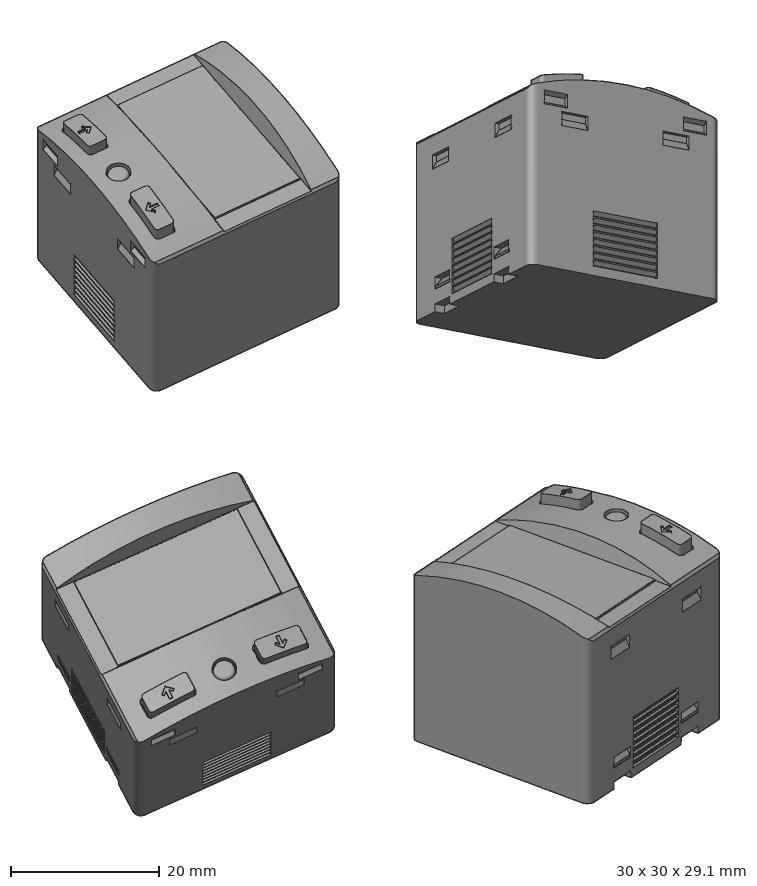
import cadquery as cq
import math

WIDTH = 30.0
HALF = WIDTH / 2
TOTAL_HEIGHT = 29.12
DOME_APEX = 27.9
DOME_RADIUS = 45.0
DOME_AXIS_Z = DOME_APEX - DOME_RADIUS
CORNER_RADIUS = 1.2
EDGE_CHAMFER_X = 0.34
EDGE_CHAMFER_Z = 0.42

CHANNEL_FLOOR_Z = 25.3
CHANNEL_BACK_Y = 10.2
CHANNEL_FRONT_Y = -3.65
CHANNEL_WALL_ANGLE = 18.0
PANEL_WIDTH = 24.4
PANEL_HEIGHT = 0.3
PANEL_BACK_Y = 10.05
PANEL_FRONT_Y = -3.5

CONTROL_Y = -11.1
BUTTON_CENTER_X = 8.4
BUTTON_LENGTH = 6.75
BUTTON_WIDTH = 3.0
BUTTON_CORNER = 0.5
BUTTON_GAP_X = 0.25
BUTTON_GAP_Y = 0.1
BUTTON_GAP_DEPTH = 0.6
BUTTON_TOP_RADIUS = math.hypot(BUTTON_CENTER_X - BUTTON_LENGTH / 2, TOTAL_HEIGHT - DOME_AXIS_Z)

ARROW_LENGTH = 1.95
ARROW_SHAFT = 0.45
ARROW_HALF_SPAN = 0.9
ARROW_BARB = 0.25
ARROW_DEPTH = 0.2

LAMP_HOLE_DIAMETER = 3.3
LAMP_DIAMETER = 3.0
LAMP_ROUND = 0.48
LAMP_TOP_Z = DOME_APEX - 0.18
LAMP_HOLE_DEPTH = 1.0

VENT_WIDTH = 10.1
VENT_COUNT = 8
VENT_PITCH = 1.0
VENT_BOTTOM_Z = 1.35
VENT_HEIGHT = 0.8
VENT_BACK_HEIGHT = 0.25
VENT_DEPTH = 0.45

WINDOW_DEPTH = 0.6
LATCH_CENTER = 8.0
LATCH_WIDTH = 4.1
LATCH_BOTTOM_Z = 20.35
LATCH_BACK_Z = 21.45
LATCH_TOP_Z = 22.35

CORNER_WINDOW_CENTER = 11.0
CORNER_WINDOW_WIDTH = 3.6
CORNER_WINDOW_BOTTOM_Z = 22.96
CORNER_WINDOW_TOP_Z = 24.9
CORNER_WINDOW_TAPER = 0.44

SNAP_CENTER = 7.55
SNAP_WIDTH = 3.7
SNAP_BOTTOM_Z = 3.25
SNAP_STEP_Z = 3.63
SNAP_TOP_Z = 4.9
SNAP_LIP_DEPTH = 0.1
SNAP_DEPTH = 1.1
NOTCH_HEIGHT = 1.1
NOTCH_DRAFT = 0.1
NOTCH_DEPTH = 1.5

CLEAR = 1.0


def dome_cylinder(radius):
    """Cylinder along Y, coaxial with the dome and as long as the body."""
    return cq.Workplane("XZ", origin=(0, HALF, DOME_AXIS_Z)).circle(radius).extrude(WIDTH)


def make_body():
    shoulder_x = HALF - EDGE_CHAMFER_X
    shoulder_z = DOME_AXIS_Z + math.sqrt(DOME_RADIUS**2 - shoulder_x**2)
    side_z = shoulder_z - EDGE_CHAMFER_Z
    return (
        cq.Workplane("XZ", origin=(0, HALF, 0))
        .moveTo(-HALF, 0)
        .lineTo(HALF, 0)
        .lineTo(HALF, side_z)
        .lineTo(shoulder_x, shoulder_z)
        .threePointArc((0, DOME_APEX), (-shoulder_x, shoulder_z))
        .lineTo(-HALF, side_z)
        .close()
        .extrude(WIDTH)
        .edges("|Z and (<X or >X)")
        .fillet(CORNER_RADIUS)
    )


def cut_channel(body):
    height = DOME_APEX + CLEAR - CHANNEL_FLOOR_Z
    flare = height * math.tan(math.radians(CHANNEL_WALL_ANGLE))
    top_z = CHANNEL_FLOOR_Z + height
    channel = (
        cq.Workplane("YZ", origin=(-HALF, 0, 0))
        .polyline([
            (CHANNEL_FRONT_Y, CHANNEL_FLOOR_Z),
            (CHANNEL_BACK_Y, CHANNEL_FLOOR_Z),
            (CHANNEL_BACK_Y + flare, top_z),
            (CHANNEL_FRONT_Y - flare, top_z),
        ])
        .close()
        .extrude(WIDTH)
    )
    panel = cq.Workplane("XY").box(
        PANEL_WIDTH, PANEL_BACK_Y - PANEL_FRONT_Y, PANEL_HEIGHT, centered=(True, False, False)
    ).translate((0, PANEL_FRONT_Y, CHANNEL_FLOOR_Z))
    return body.cut(channel).union(panel)


def rounded_prism(center_x, length, width, corner):
    """Upright bar with rounded corners, rising from the base past the button tops."""
    return (
        cq.Workplane("XY", origin=(center_x, CONTROL_Y, 0))
        .rect(length, width)
        .extrude(TOTAL_HEIGHT + CLEAR)
        .edges("|Z")
        .fillet(corner)
    )


def arrow_prism(center_x, direction):
    """Upright prism of an arrow pointing along +Y (direction 1) or -Y (direction -1)."""
    tip = ARROW_LENGTH / 2
    half_shaft = ARROW_SHAFT / 2
    barb_y = tip - ARROW_HALF_SPAN
    right_side = [
        (ARROW_HALF_SPAN, barb_y),
        (ARROW_HALF_SPAN - ARROW_BARB, barb_y - ARROW_BARB),
        (half_shaft, tip - half_shaft - 2 * ARROW_BARB),
        (half_shaft, -tip),
    ]
    left_side = [(-x, y) for x, y in reversed(right_side)]
    outline = [(x, direction * y) for x, y in [(0, tip)] + right_side + left_side]
    return (
        cq.Workplane("XY", origin=(center_x, CONTROL_Y, 0))
        .polyline(outline)
        .close()
        .extrude(TOTAL_HEIGHT + CLEAR)
    )


def add_button(body, side):
    """Curved key standing in a narrow clearance gap; side is -1 (left) or 1 (right)."""
    center_x = side * BUTTON_CENTER_X
    gap = rounded_prism(
        center_x,
        BUTTON_LENGTH + 2 * BUTTON_GAP_X,
        BUTTON_WIDTH + 2 * BUTTON_GAP_Y,
        BUTTON_CORNER + BUTTON_GAP_Y,
    ).cut(dome_cylinder(DOME_RADIUS - BUTTON_GAP_DEPTH))
    engraving = arrow_prism(center_x, -side).cut(dome_cylinder(BUTTON_TOP_RADIUS - ARROW_DEPTH))
    key = (
        rounded_prism(center_x, BUTTON_LENGTH, BUTTON_WIDTH, BUTTON_CORNER)
        .intersect(dome_cylinder(BUTTON_TOP_RADIUS))
        .cut(engraving)
    )
    return body.cut(gap).union(key)


def add_lamp(body):
    floor_z = DOME_APEX - LAMP_HOLE_DEPTH
    floor = cq.Workplane("XY", origin=(0, CONTROL_Y, floor_z))
    hole = floor.circle(LAMP_HOLE_DIAMETER / 2).extrude(LAMP_HOLE_DEPTH + CLEAR)
    lamp = (
        floor.circle(LAMP_DIAMETER / 2)
        .extrude(LAMP_TOP_Z - floor_z)
        .faces(">Z")
        .edges()
        .fillet(LAMP_ROUND)
    )
    return body.cut(hole).union(lamp)


def wall_recess(profile, width, center):
    """Recess in the left wall, from (depth, z) profile points, centred at y = center."""
    points = [(depth - HALF, z) for depth, z in profile]
    return (
        cq.Workplane("XZ", origin=(0, center + width / 2, 0))
        .polyline(points)
        .close()
        .extrude(width)
    )


def on_front_wall(recess):
    """Turn a left-wall recess about Z onto the front wall."""
    return recess.rotate((0, 0, 0), (0, 0, 1), 90)


def vent_slots():
    slots = cq.Workplane("XY")
    for index in range(VENT_COUNT):
        z = VENT_BOTTOM_Z + index * VENT_PITCH
        profile = [(0, z), (VENT_DEPTH, z), (VENT_DEPTH, z + VENT_BACK_HEIGHT), (0, z + VENT_HEIGHT)]
        slots = slots.add(wall_recess(profile, VENT_WIDTH, 0))
    return slots.combine()


def cut_vents_and_latches(body):
    latch_profile = [
        (0, LATCH_BOTTOM_Z),
        (WINDOW_DEPTH, LATCH_BACK_Z),
        (WINDOW_DEPTH, LATCH_TOP_Z),
        (0, LATCH_TOP_Z),
    ]
    recesses = [vent_slots()]
    for side in (-1, 1):
        recesses.append(wall_recess(latch_profile, LATCH_WIDTH, side * LATCH_CENTER))
    for recess in recesses:
        body = body.cut(recess).cut(on_front_wall(recess))
    return body


def cut_corner_windows(body):
    profile = [
        (0, CORNER_WINDOW_BOTTOM_Z),
        (WINDOW_DEPTH, CORNER_WINDOW_BOTTOM_Z + CORNER_WINDOW_TAPER),
        (WINDOW_DEPTH, CORNER_WINDOW_TOP_Z - CORNER_WINDOW_TAPER),
        (0, CORNER_WINDOW_TOP_Z),
    ]
    for side in (-1, 1):
        window = wall_recess(profile, CORNER_WINDOW_WIDTH, side * CORNER_WINDOW_CENTER)
        body = body.cut(on_front_wall(window))
    return body


def cut_snap_windows(body):
    profile = [
        (0, SNAP_BOTTOM_Z),
        (SNAP_LIP_DEPTH, SNAP_BOTTOM_Z),
        (SNAP_LIP_DEPTH, SNAP_STEP_Z),
        (SNAP_DEPTH, SNAP_TOP_Z),
        (0, SNAP_TOP_Z),
    ]
    for side in (-1, 1):
        body = body.cut(wall_recess(profile, SNAP_WIDTH, side * SNAP_CENTER))
    return body


def cut_foot_notches(body):
    """Notches open to the base; the end nearer the middle of the wall is drafted."""
    inner = SNAP_CENTER - SNAP_WIDTH / 2
    outer = SNAP_CENTER + SNAP_WIDTH / 2
    for side in (-1, 1):
        notch = (
            cq.Workplane("YZ", origin=(-HALF, 0, 0))
            .polyline([
                (side * outer, 0),
                (side * outer, NOTCH_HEIGHT),
                (side * inner, NOTCH_HEIGHT),
                (side * (inner - NOTCH_DRAFT), 0),
            ])
            .close()
            .extrude(NOTCH_DEPTH)
        )
        body = body.cut(notch)
    return body


result = cut_channel(make_body())
for button_side in (-1, 1):
    result = add_button(result, button_side)
result = add_lamp(result)
result = cut_vents_and_latches(result)
result = cut_corner_windows(result)
result = cut_snap_windows(result)
result = cut_foot_notches(result)